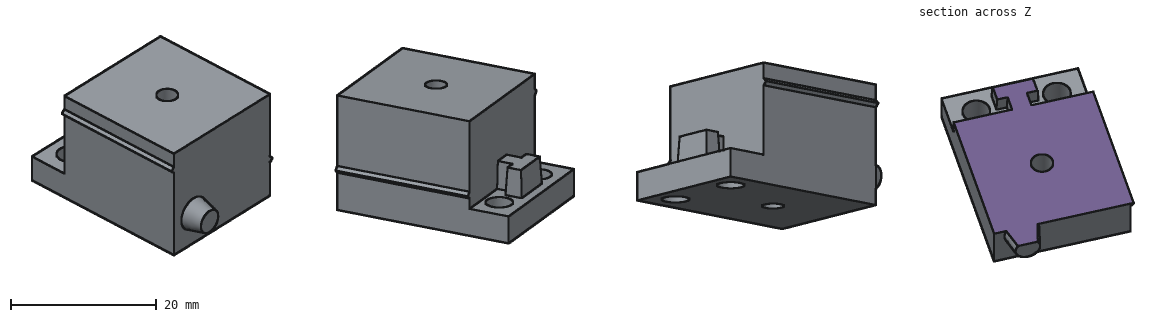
import cadquery as cq
import math

total_length = 29.5
body_length = 26.52
body_width = 19.5
body_height = 17.0
flange_length = 6.05
flange_height = 4.0

ridge_depth = 0.5
front_ridge_z = 14.28
back_ridge_z = 6.05

key_start = 1.48
key_head_length = 2.5
key_head_width = 6.02
key_stem_width = 3.05
key_height = 4.05
key_draft = 3.0

mount_hole_diameter = 3.8
mount_hole_x = 3.5
mount_hole_offset = 5.75
center_hole_diameter = 3.0
nozzle_base_diameter = 5.0
nozzle_tip_diameter = 3.5
nozzle_z = 5.02

block_length = body_length - flange_length
block_center_x = flange_length + block_length / 2


def make_body():
    """L-shaped body: a tall block with a low mounting flange."""
    profile = [
        (0, 0),
        (body_length, 0),
        (body_length, body_height),
        (flange_length, body_height),
        (flange_length, flange_height),
        (0, flange_height),
    ]
    return cq.Workplane("XZ").polyline(profile).close().extrude(body_width / 2, both=True)


def make_ridge(side, center_z):
    """Triangular ridge along the block; side is -1 for -Y and +1 for +Y."""
    face_y = side * body_width / 2
    profile = [
        (face_y, center_z - ridge_depth),
        (face_y + side * ridge_depth, center_z),
        (face_y, center_z + ridge_depth),
    ]
    return (
        cq.Workplane("YZ", origin=(flange_length, 0, 0))
        .polyline(profile)
        .close()
        .extrude(block_length)
    )


def make_drafted_bar(end_x, width):
    """Drafted bar on the flange, running from the front of the key to end_x."""
    length = end_x - key_start
    return (
        cq.Workplane("XY", origin=(key_start + length / 2, 0, flange_height))
        .rect(length, width)
        .extrude(key_height, taper=key_draft)
    )


def make_key():
    """Drafted T-shaped key standing on the flange, its stem running into the block."""
    stem_end = flange_length + 2 * key_height * math.tan(math.radians(key_draft))
    head = make_drafted_bar(key_start + key_head_length, key_head_width)
    stem = make_drafted_bar(stem_end, key_stem_width)
    return head.union(stem)


def make_nozzle():
    """Tapered nozzle on the +X face, in line with the -Y mounting hole."""
    return cq.Workplane(
        cq.Solid.makeCone(
            nozzle_base_diameter / 2,
            nozzle_tip_diameter / 2,
            total_length - body_length,
            pnt=cq.Vector(body_length, -mount_hole_offset, nozzle_z),
            dir=cq.Vector(1, 0, 0),
        )
    )


def make_through_hole(diameter, x, y):
    """Vertical cutter through the full height of the part."""
    return cq.Workplane("XY").center(x, y).circle(diameter / 2).extrude(body_height)


result = (
    make_body()
    .union(make_ridge(-1, front_ridge_z))
    .union(make_ridge(1, back_ridge_z))
    .union(make_key())
    .union(make_nozzle())
    .cut(make_through_hole(center_hole_diameter, block_center_x, 0))
)
for hole_y in (-mount_hole_offset, mount_hole_offset):
    result = result.cut(make_through_hole(mount_hole_diameter, mount_hole_x, hole_y))